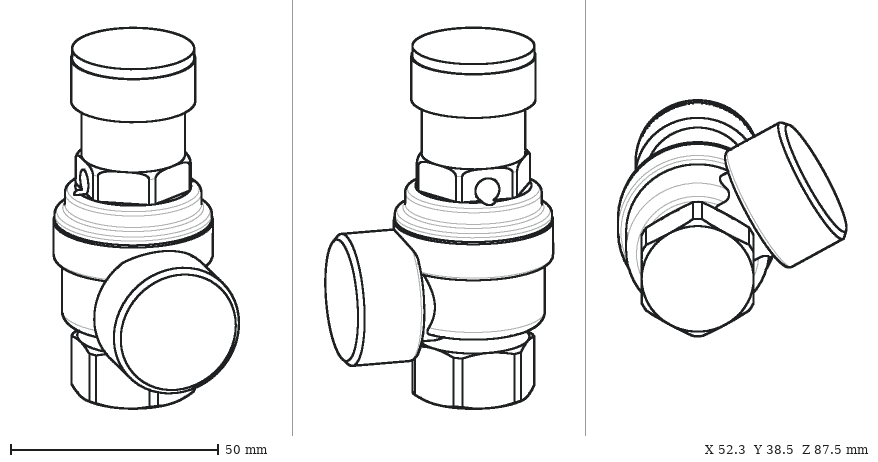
import cadquery as cq
import math

inlet_hex_top_z = 14.0
body_bottom_z = 18.0
flange_bottom_z = 34.1
flange_shoulder_z = 43.4
rim_bottom_z = 43.9
collar_bottom_z = 47.0
collar_shoulder_z = 51.15
bonnet_hex_bottom_z = 52.25
bonnet_hex_top_z = 60.25
cap_bottom_z = 74.0
cap_shoulder_z = 85.0
total_height = 87.5

groove_radius = 11.5
groove_edge_radius = groove_radius + (body_bottom_z - inlet_hex_top_z) / 2
body_radius = 17.25
flange_radius = 19.25
rim_radius = 19.0
collar_radius = 16.5
neck_radius = 12.5
cap_radius = 15.0
cap_top_radius = 14.75

rim_slope = math.radians(30)
shoulder_fillet = 1.0
body_bottom_fillet = 2.5
flange_bottom_fillet = 0.75

inlet_flat_width = 27.0
inlet_corner_radius = 15.0
inlet_chamfer_width = 1.5
inlet_chamfer_slope = math.radians(30)

bonnet_flat_width = 25.0
bonnet_corner_radius = 14.0
bonnet_top_fillet = bonnet_corner_radius - neck_radius
cross_hole_radius = 3.0
cross_hole_z = 54.8

outlet_axis_z = 26.0
outlet_tube_radius = 11.5
outlet_radius = 16.0
outlet_start_x = 16.5
outlet_end_x = 33.0
outlet_inner_fillet = 1.0
outlet_end_chamfer = 1.3


def cylinder(radius, bottom_z, top_z):
    return cq.Workplane("XY").workplane(offset=bottom_z).circle(radius).extrude(top_z - bottom_z)


def hexagon(flat_width, bottom_z, top_z):
    """Hexagonal prism with two flats facing -Y and +Y."""
    corner_diameter = flat_width / math.cos(math.pi / 6)
    return (
        cq.Workplane("XY")
        .workplane(offset=bottom_z)
        .polygon(6, corner_diameter)
        .extrude(top_z - bottom_z)
    )


def make_inlet_hex():
    chamfer_height = inlet_chamfer_width * math.tan(inlet_chamfer_slope)
    envelope = (
        cylinder(inlet_corner_radius, 0, inlet_hex_top_z)
        .faces("<Z or >Z")
        .chamfer(chamfer_height, inlet_chamfer_width)
    )
    return hexagon(inlet_flat_width, 0, inlet_hex_top_z).intersect(envelope)


def make_groove():
    """Waist between the inlet hexagon and the body, hollowed by a half circle."""
    middle_z = (inlet_hex_top_z + body_bottom_z) / 2
    return (
        cq.Workplane("XZ")
        .moveTo(0, inlet_hex_top_z)
        .lineTo(groove_edge_radius, inlet_hex_top_z)
        .threePointArc((groove_radius, middle_z), (groove_edge_radius, body_bottom_z))
        .lineTo(0, body_bottom_z)
        .close()
        .revolve(360, (0, 0, 0), (0, 1, 0))
    )


def make_body():
    return (
        cylinder(body_radius, body_bottom_z, flange_bottom_z)
        .faces("<Z")
        .edges()
        .fillet(body_bottom_fillet)
    )


def make_flange():
    step = flange_radius - rim_radius
    flange = cylinder(flange_radius, flange_bottom_z, rim_bottom_z)
    flange = flange.faces("<Z").edges().fillet(flange_bottom_fillet)
    return flange.faces(">Z").edges().chamfer(rim_bottom_z - flange_shoulder_z, step)


def make_collar():
    """Rim and collar, each topped by a sloped shoulder with rounded corners."""
    rim_drop = (rim_radius - collar_radius) * math.tan(rim_slope)
    rim_shoulder_z = collar_bottom_z - rim_drop
    outline = [
        (0, rim_bottom_z),
        (rim_radius, rim_bottom_z),
        (rim_radius, rim_shoulder_z),
        (collar_radius, collar_bottom_z),
        (collar_radius, collar_shoulder_z),
        (bonnet_corner_radius, bonnet_hex_bottom_z),
        (0, bonnet_hex_bottom_z),
    ]
    collar = cq.Workplane("XZ").polyline(outline).close().revolve(360, (0, 0, 0), (0, 1, 0))
    margin = 0.1
    rounded_edges = cq.selectors.BoxSelector(
        (-rim_radius, -rim_radius, rim_shoulder_z - margin),
        (rim_radius, rim_radius, collar_shoulder_z + margin),
    )
    return collar.edges("%CIRCLE").edges(rounded_edges).fillet(shoulder_fillet)


def make_bonnet_hex():
    envelope = (
        cylinder(bonnet_corner_radius, bonnet_hex_bottom_z, bonnet_hex_top_z)
        .faces(">Z")
        .edges()
        .fillet(bonnet_top_fillet)
    )
    return hexagon(bonnet_flat_width, bonnet_hex_bottom_z, bonnet_hex_top_z).intersect(envelope)


def make_cap():
    neck = cylinder(neck_radius, bonnet_hex_top_z, cap_bottom_z)
    cap = cylinder(cap_radius, cap_bottom_z, cap_shoulder_z)
    cap_top = cylinder(cap_top_radius, cap_shoulder_z, total_height)
    return neck.union(cap).union(cap_top)


def make_outlet():
    tube = (
        cq.Workplane("YZ")
        .center(0, outlet_axis_z)
        .circle(outlet_tube_radius)
        .extrude(outlet_start_x)
    )
    end = (
        cq.Workplane("YZ")
        .workplane(offset=outlet_start_x)
        .center(0, outlet_axis_z)
        .circle(outlet_radius)
        .extrude(outlet_end_x - outlet_start_x)
    )
    end = end.faces("<X").edges().fillet(outlet_inner_fillet)
    end = end.faces(">X").edges().chamfer(outlet_end_chamfer)
    return tube.union(end)


def make_cross_hole():
    """Hole through the bonnet hexagon along Y, grazing the collar top."""
    return (
        cq.Workplane("XZ")
        .center(0, cross_hole_z)
        .circle(cross_hole_radius)
        .extrude(flange_radius, both=True)
    )


valve = make_inlet_hex()
for section in (
    make_groove(),
    make_body(),
    make_flange(),
    make_collar(),
    make_bonnet_hex(),
    make_cap(),
    make_outlet(),
):
    valve = valve.union(section)

result = valve.cut(make_cross_hole())